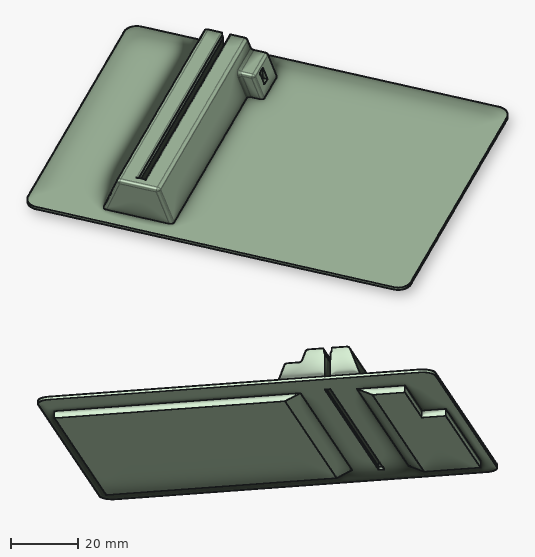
import cadquery as cq


plate_length = 121.0
plate_width = 92.0
plate_thickness = 1.0
plate_corner_radius = 4.0

pad_length = 114.0
pad_width = 70.9
pad_depth = 2.2
channel_top_width = 17.2
channel_bottom_width = 26.6
pad_notch_depth = 7.3
pad_notch_start_y = 12.2

housing_x = -26.5
housing_height = 12.1
housing_base_width = 22.3
housing_top_width = 13.1
housing_back_y = 37.0
housing_front_y = -40.2
housing_fillet = 1.1
side_slope = (housing_base_width - housing_top_width) / 2 / housing_height

block_height = 8.2
block_right_x = -10.4
block_front_y = 25.2
block_fillet = 1.0

window_back_x = -13.0
window_floor_z = 2.8
window_front_y = 29.0
window_width = 2.7

slot_width = 1.7
slot_front_y = -37.0
slot_edge_fillet = 0.4
slot_mouth_width = 2.4
slot_lip_depth = 1.0


def box_between(x_min, x_max, y_min, y_max, z_min, z_max):
    """Axis-aligned box given by its limits."""
    size = (x_max - x_min, y_max - y_min, z_max - z_min)
    return cq.Workplane("XY").box(*size, centered=False).translate((x_min, y_min, z_min))


def extrude_profile(points, y_min, y_max):
    """Prism with an XZ outline, running along Y."""
    profile = cq.Workplane("XZ", origin=(0, y_max, 0)).polyline(points).close()
    return profile.extrude(y_max - y_min)


def slot_cutter(z_min, z_max):
    half_width = slot_width / 2
    return box_between(
        housing_x - half_width, housing_x + half_width,
        slot_front_y, housing_back_y, z_min, z_max,
    )


def slot_mouth_cutter():
    """Wider top of the slot: an upright lip, then walls sloping as the housing sides do."""
    lip_z = housing_height - slot_lip_depth
    throat_z = lip_z - (slot_mouth_width - slot_width) / 2 / side_slope
    return extrude_profile(
        [
            (housing_x - slot_mouth_width / 2, housing_height),
            (housing_x + slot_mouth_width / 2, housing_height),
            (housing_x + slot_mouth_width / 2, lip_z),
            (housing_x + slot_width / 2, throat_z),
            (housing_x - slot_width / 2, throat_z),
            (housing_x - slot_mouth_width / 2, lip_z),
        ],
        slot_front_y, housing_back_y,
    )


def make_pads():
    top_z = -plate_thickness
    bottom_z = top_z - pad_depth
    half_length = pad_length / 2
    half_width = pad_width / 2
    pads = box_between(-half_length, half_length, -half_width, half_width, bottom_z, top_z)
    channel = extrude_profile(
        [
            (housing_x - channel_top_width / 2, top_z),
            (housing_x + channel_top_width / 2, top_z),
            (housing_x + channel_bottom_width / 2, bottom_z),
            (housing_x - channel_bottom_width / 2, bottom_z),
        ],
        -half_width, half_width,
    )
    notch = box_between(
        -half_length, -half_length + pad_notch_depth,
        pad_notch_start_y, half_width, bottom_z, top_z,
    )
    return pads.cut(channel).cut(notch)


def make_plate():
    plate = (
        cq.Workplane("XY")
        .rect(plate_length, plate_width)
        .extrude(-plate_thickness)
        .edges("|Z")
        .fillet(plate_corner_radius)
    )
    return plate.union(make_pads()).cut(slot_cutter(-plate_thickness, 0))


def make_bar():
    return extrude_profile(
        [
            (housing_x - housing_base_width / 2, 0),
            (housing_x + housing_base_width / 2, 0),
            (housing_x + housing_top_width / 2, housing_height),
            (housing_x - housing_top_width / 2, housing_height),
        ],
        housing_front_y, housing_back_y,
    )


def make_side_block():
    return extrude_profile(
        [
            (housing_x, 0),
            (block_right_x, 0),
            (block_right_x - side_slope * block_height, block_height),
            (housing_x, block_height),
        ],
        block_front_y, housing_back_y,
    )


def round_block_edges(body):
    """Round the outer edges of the block, then the inside corners where it meets the bar."""
    bar_side_base_x = housing_x + housing_base_width / 2
    bar_side_x = bar_side_base_x - side_slope * block_height
    middle_y = (block_front_y + housing_back_y) / 2
    seams = (
        cq.selectors.NearestToPointSelector((bar_side_x, middle_y, block_height))
        + cq.selectors.NearestToPointSelector(
            ((bar_side_x + bar_side_base_x) / 2, block_front_y, block_height / 2)
        )
    )
    block_right_top_x = block_right_x - side_slope * block_height
    corner_edges = (
        cq.selectors.NearestToPointSelector((block_right_top_x, middle_y, block_height))
        + cq.selectors.NearestToPointSelector(
            ((block_right_top_x + block_right_x) / 2, block_front_y, block_height / 2)
        )
        + cq.selectors.NearestToPointSelector(
            ((bar_side_x + block_right_top_x) / 2, block_front_y, block_height)
        )
    )
    return body.edges(corner_edges).fillet(block_fillet).edges(seams).fillet(block_fillet)


def round_bar_edges(body):
    front_and_top = body.faces("<Y or >Z").edges("not(<Z or >Y)")
    return front_and_top.fillet(housing_fillet)


def make_window_cutter():
    return box_between(
        window_back_x, block_right_x,
        window_front_y, window_front_y + window_width,
        window_floor_z, block_height,
    )


def cut_slot(body):
    """Cut the slot with its wider mouth and round its two long top edges."""
    body = body.cut(slot_cutter(0, housing_height)).cut(slot_mouth_cutter())
    half_mouth = slot_mouth_width / 2
    middle_y = (slot_front_y + housing_back_y) / 2
    long_edges = (
        cq.selectors.NearestToPointSelector((housing_x - half_mouth, middle_y, housing_height))
        + cq.selectors.NearestToPointSelector((housing_x + half_mouth, middle_y, housing_height))
    )
    return body.edges(long_edges).fillet(slot_edge_fillet)


def make_housing():
    housing = make_bar().union(make_side_block())
    housing = round_block_edges(housing)
    housing = round_bar_edges(housing)
    housing = housing.cut(make_window_cutter())
    return cut_slot(housing)


plate = make_plate()
housing = make_housing()

result = cq.Compound.makeCompound([plate.val(), housing.val()])